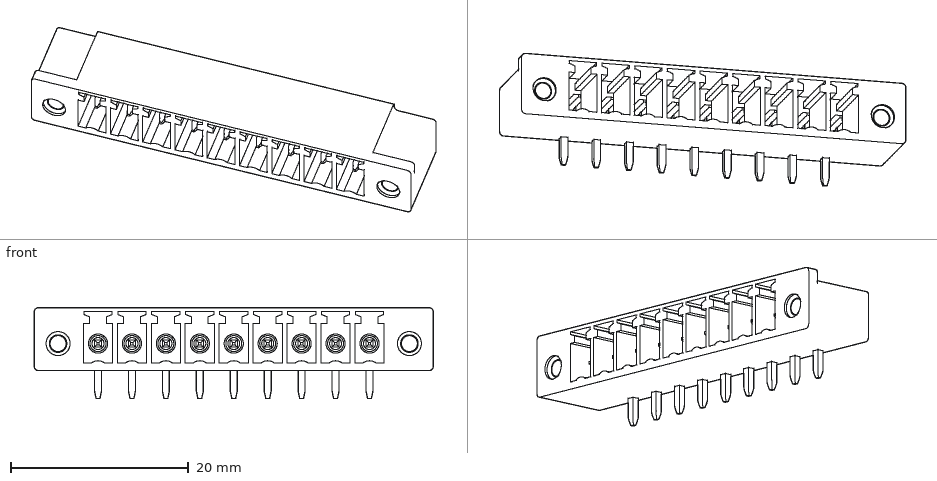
import cadquery as cq


LENGTH = 44.9
DEPTH = 9.2
HEIGHT = 7.1
EDGE_RADIUS = 0.5

FLANGE_THICKNESS = 1.35
BLOCK_LENGTH = 35.0
DECK_DROP = 1.25
DECK_HEIGHT = HEIGHT - DECK_DROP

PIN_COUNT = 9
PITCH = 3.8
PIN_SIZE = 0.8
PIN_HALF = PIN_SIZE / 2
PIN_AXIS_HEIGHT = 3.05
BLADE_TIP_Y = 1.5
BLADE_TIP_TAPER = 0.85
BLADE_TIP_HALF = 0.15
LEG_Y = 8.12
LEG_LENGTH = 3.15
LEG_TIP_TAPER = 0.85
LEG_TIP_HALF_WIDTH = 0.22
LEG_TIP_CURVE = 1.1
LEG_TIP_HALF_DEPTH = 0.155
PIN_XS = [(i - (PIN_COUNT - 1) / 2) * PITCH for i in range(PIN_COUNT)]

POCKET_WIDTH = 3.28
POCKET_DEPTH = 6.75
POCKET_FLOOR = 0.85
POCKET_SHOULDER = 5.3
POCKET_TOP = 6.65
NECK_WIDTH = 1.9
NECK_TOP = 6.05
BAR_WIDTH = 3.2
BAR_SIDE_BOTTOM = 6.35
RIB_WIDTH = 1.5
RIB_RISE = 0.25

BOSS_BASE_RADIUS = 1.08
BOSS_EDGE_RADIUS = 0.9
BOSS_TOP_RADIUS = 0.67
BOSS_SKIRT_LENGTH = 0.6
BOSS_CROWN_LENGTH = 0.15

HOLE_SPACING = 39.5
HOLE_RADIUS = 0.9
RECESS_RADIUS = 1.35
RECESS_DEPTH = 0.3
CONE_END_RADIUS = 1.0
CONE_END_DEPTH = 0.65


def extrude_back(sketch, length):
    """Extrude a sketch drawn on the XZ plane toward +Y."""
    return sketch.extrude(-length)


def make_body():
    """Full-height slab with rounded ends, cut down to a deck at each end behind the flange."""
    body = cq.Workplane("XY").box(LENGTH, DEPTH, HEIGHT, centered=(True, False, False))
    body = body.edges("|Y").fillet(EDGE_RADIUS)
    for side in (-1, 1):
        body = body.cut(make_deck_cut(side))
    back_top_edge = cq.selectors.NearestToPointSelector((0, DEPTH, HEIGHT))
    return body.edges(back_top_edge).fillet(EDGE_RADIUS)


def make_deck_cut(side):
    """Volume above one end deck, leaving a fillet at the block and a rounded outer edge."""
    wall = side * BLOCK_LENGTH / 2
    fillet_end = wall + side * EDGE_RADIUS
    end = side * LENGTH / 2
    round_start = end - side * EDGE_RADIUS
    diagonal = EDGE_RADIUS * (1 - 0.5 ** 0.5)
    profile = (
        cq.Workplane("XZ", origin=(0, FLANGE_THICKNESS, 0))
        .moveTo(wall, HEIGHT)
        .lineTo(wall, DECK_HEIGHT + EDGE_RADIUS)
        .threePointArc((wall + side * diagonal, DECK_HEIGHT + diagonal), (fillet_end, DECK_HEIGHT))
        .lineTo(round_start, DECK_HEIGHT)
        .threePointArc((end - side * diagonal, DECK_HEIGHT - diagonal), (end, DECK_HEIGHT - EDGE_RADIUS))
        .lineTo(end, HEIGHT)
        .close()
    )
    return extrude_back(profile, DEPTH - FLANGE_THICKNESS)


def make_pocket(x):
    """Pocket with a T-shaped coding slot above it and a rounded rib along its floor."""
    profile = (
        cq.Workplane("XZ", origin=(x, 0, 0))
        .moveTo(-POCKET_WIDTH / 2, POCKET_FLOOR)
        .lineTo(-RIB_WIDTH / 2, POCKET_FLOOR)
        .threePointArc((0, POCKET_FLOOR + RIB_RISE), (RIB_WIDTH / 2, POCKET_FLOOR))
        .lineTo(POCKET_WIDTH / 2, POCKET_FLOOR)
        .lineTo(POCKET_WIDTH / 2, POCKET_SHOULDER)
        .lineTo(NECK_WIDTH / 2, POCKET_SHOULDER)
        .lineTo(NECK_WIDTH / 2, NECK_TOP)
        .lineTo(BAR_WIDTH / 2, BAR_SIDE_BOTTOM)
        .lineTo(BAR_WIDTH / 2, POCKET_TOP)
        .lineTo(-BAR_WIDTH / 2, POCKET_TOP)
        .lineTo(-BAR_WIDTH / 2, BAR_SIDE_BOTTOM)
        .lineTo(-NECK_WIDTH / 2, NECK_TOP)
        .lineTo(-NECK_WIDTH / 2, POCKET_SHOULDER)
        .lineTo(-POCKET_WIDTH / 2, POCKET_SHOULDER)
        .close()
    )
    return extrude_back(profile, POCKET_DEPTH)


def make_boss(x):
    """Steep skirt and flatter crown, turned about the pin axis."""
    edge_y = POCKET_DEPTH - BOSS_SKIRT_LENGTH
    return (
        cq.Workplane("XY", origin=(x, 0, PIN_AXIS_HEIGHT))
        .moveTo(0, POCKET_DEPTH)
        .lineTo(BOSS_BASE_RADIUS, POCKET_DEPTH)
        .lineTo(BOSS_EDGE_RADIUS, edge_y)
        .lineTo(BOSS_TOP_RADIUS, edge_y - BOSS_CROWN_LENGTH)
        .lineTo(0, edge_y - BOSS_CROWN_LENGTH)
        .close()
        .revolve(360, (0, 0, 0), (0, 1, 0))
    )


def make_mounting_hole(x):
    """Through hole with a cone-bottomed recess, turned about an axis level with the pins."""
    return (
        cq.Workplane("XY", origin=(x, 0, PIN_AXIS_HEIGHT))
        .lineTo(RECESS_RADIUS, 0)
        .lineTo(RECESS_RADIUS, RECESS_DEPTH)
        .lineTo(CONE_END_RADIUS, CONE_END_DEPTH)
        .lineTo(HOLE_RADIUS, CONE_END_DEPTH)
        .lineTo(HOLE_RADIUS, DEPTH)
        .lineTo(0, DEPTH)
        .close()
        .revolve(360, (0, 0, 0), (0, 1, 0))
    )


def make_pin(x):
    """Right-angle square pin: a blade pointing to -Y and a solder leg pointing down."""
    blade_top = PIN_AXIS_HEIGHT + PIN_HALF
    blade_bottom = PIN_AXIS_HEIGHT - PIN_HALF
    blade_taper_y = BLADE_TIP_Y + BLADE_TIP_TAPER
    leg_back = LEG_Y + PIN_HALF
    leg_front = LEG_Y - PIN_HALF
    curve_top = LEG_TIP_CURVE - LEG_LENGTH
    taper_top = LEG_TIP_TAPER - LEG_LENGTH

    bar = (
        cq.Workplane("YZ")
        .moveTo(BLADE_TIP_Y, PIN_AXIS_HEIGHT + BLADE_TIP_HALF)
        .lineTo(blade_taper_y, blade_top)
        .lineTo(leg_back, blade_top)
        .lineTo(leg_back, curve_top)
        .tangentArcPoint((LEG_Y + LEG_TIP_HALF_DEPTH, -LEG_LENGTH), relative=False)
        .lineTo(LEG_Y, -LEG_LENGTH)
        .lineTo(LEG_Y, blade_bottom)
        .lineTo(blade_taper_y, blade_bottom)
        .lineTo(BLADE_TIP_Y, PIN_AXIS_HEIGHT - BLADE_TIP_HALF)
        .close()
        .extrude(PIN_HALF, both=True)
    )
    leg_front_half = (
        cq.Workplane("YZ")
        .moveTo(LEG_Y, -LEG_LENGTH)
        .lineTo(LEG_Y, PIN_AXIS_HEIGHT)
        .lineTo(leg_front, PIN_AXIS_HEIGHT)
        .lineTo(leg_front, curve_top)
        .tangentArcPoint((LEG_Y - LEG_TIP_HALF_DEPTH, -LEG_LENGTH), relative=False)
        .close()
        .extrude(PIN_HALF, both=True)
    )
    blade_taper = (
        cq.Workplane("XY")
        .moveTo(-BLADE_TIP_HALF, BLADE_TIP_Y)
        .lineTo(-PIN_HALF, blade_taper_y)
        .lineTo(-PIN_HALF, leg_back)
        .lineTo(PIN_HALF, leg_back)
        .lineTo(PIN_HALF, blade_taper_y)
        .lineTo(BLADE_TIP_HALF, BLADE_TIP_Y)
        .close()
        .extrude(LEG_LENGTH + blade_top, both=True)
    )
    leg_taper = (
        cq.Workplane("XZ")
        .moveTo(-LEG_TIP_HALF_WIDTH, -LEG_LENGTH)
        .lineTo(-PIN_HALF, taper_top)
        .lineTo(-PIN_HALF, blade_top)
        .lineTo(PIN_HALF, blade_top)
        .lineTo(PIN_HALF, taper_top)
        .lineTo(LEG_TIP_HALF_WIDTH, -LEG_LENGTH)
        .close()
    )
    pin = bar.union(leg_front_half).intersect(blade_taper)
    pin = pin.intersect(extrude_back(leg_taper, DEPTH))
    return pin.translate((x, 0, 0))


def make_housing(fitted_pins):
    """Body with a pocket and a boss per pin, matching holes for the pins and two mounting holes."""
    shell = make_body()
    for hole_x in (-HOLE_SPACING / 2, HOLE_SPACING / 2):
        shell = shell.cut(make_mounting_hole(hole_x))
    for x in PIN_XS:
        shell = shell.cut(make_pocket(x)).union(make_boss(x))
    for pin in fitted_pins:
        shell = shell.cut(pin)
    return shell


pins = [make_pin(x) for x in PIN_XS]
housing = make_housing(pins)

result = cq.Compound.makeCompound([housing.val(), *[pin.val() for pin in pins]])